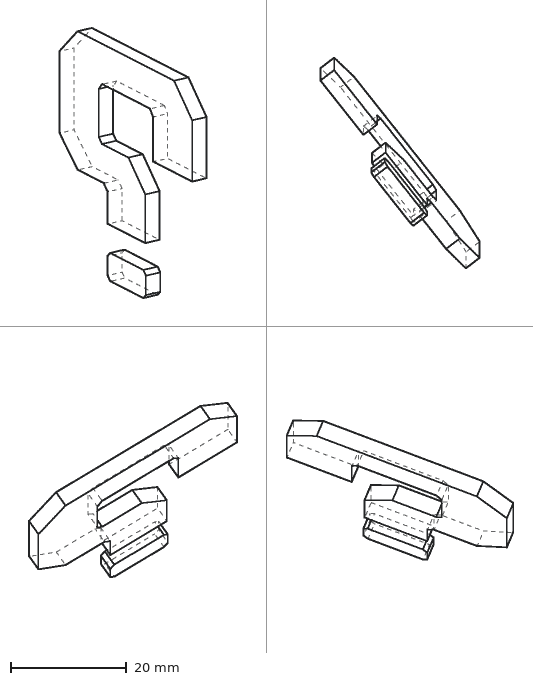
import cadquery as cq

width = 41.05
height = 43.05
thickness = 3.0

corner_run = 5.6
corner_drop_right = 5.6
corner_drop_left = 5.4
lower_left_rise = 5.1
belly_z = 17.47
tip_z = 26.13
tip_left = 28.92

opening_left = 12.2
opening_floor = 24.55
opening_ceiling = 35.6
opening_cut_run = 1.0
opening_cut_drop = 1.2
opening_cut_rise = 1.0

stem_left = 14.85
stem_right = 26.55
stem_bottom = 10.35
stem_notch = 1.2
shoulder_cut = 5.2

dot_width = 11.92
dot_height = 5.2
dot_cut = 0.8


def make_hook():
    """Extrude the hook outline from Y = 0 to the full thickness."""
    outer = [
        (0, height - corner_drop_left),
        (corner_run, height),
        (width - corner_run, height),
        (width, height - corner_drop_right),
        (width, tip_z),
        (tip_left, tip_z),
    ]
    opening = [
        (tip_left, opening_ceiling - opening_cut_drop),
        (tip_left - opening_cut_run, opening_ceiling),
        (opening_left + opening_cut_run, opening_ceiling),
        (opening_left, opening_ceiling - opening_cut_drop),
        (opening_left, opening_floor + opening_cut_rise),
        (opening_left + opening_cut_run, opening_floor),
    ]
    stem_and_bowl = [
        (stem_right - shoulder_cut, opening_floor),
        (stem_right, opening_floor - shoulder_cut),
        (stem_right, stem_bottom),
        (stem_left, stem_bottom),
        (stem_left, belly_z - stem_notch),
        (stem_left - stem_notch, belly_z),
        (corner_run, belly_z),
        (0, belly_z + lower_left_rise),
    ]
    outline = outer + opening + stem_and_bowl
    return cq.Workplane("XZ").polyline(outline).close().extrude(-thickness)


def make_dot():
    """Block under the stem with its four corners cut at 45 degrees."""
    block = cq.Workplane("XY").box(dot_width, thickness, dot_height, centered=False)
    return block.edges("|Y").chamfer(dot_cut).translate((stem_left, 0, 0))


hook = make_hook()
dot = make_dot()

result = cq.Compound.makeCompound([hook.val(), dot.val()])